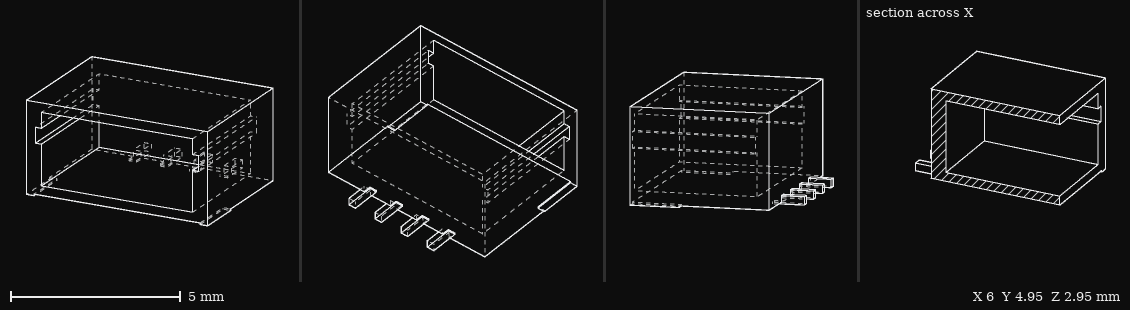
import cadquery as cq

body_width = 6.0
body_depth = 4.25
standoff = 0.05
body_height = 2.905

side_wall = 0.5
floor_wall = 0.3
back_wall = 0.5
cavity_width = body_width - 2 * side_wall
cavity_height = body_height - 2 * floor_wall
cavity_depth = body_depth - back_wall
groove_span = 5.4
groove_height = 0.5
groove_drop = 0.8

lead_count = 4
lead_pitch = 1.0
lead_width = 0.25
lead_thickness = 0.25
lead_overhang = 0.7
lead_length = 0.97

pad_width = 0.25
pad_length = 1.5

body_top = standoff + body_height


def block(width, depth, height, x_center, y_front, z_bottom):
    """Box centred on x_center, running back from y_front and up from z_bottom."""
    box = cq.Workplane("XY").box(width, depth, height, centered=(True, False, False))
    return box.translate((x_center, y_front, z_bottom))


housing = block(body_width, body_depth, body_height, 0, 0, standoff)
cavity = block(cavity_width, cavity_depth, cavity_height, 0, 0, standoff + floor_wall)
groove_bottom = body_top - groove_drop - groove_height
grooves = block(groove_span, cavity_depth, groove_height, 0, 0, groove_bottom)
result = housing.cut(cavity).cut(grooves)

lead_front = body_depth + lead_overhang - lead_length
for index in range(lead_count):
    lead_x = (index - (lead_count - 1) / 2) * lead_pitch
    lead = block(lead_width, lead_length, lead_thickness, lead_x, lead_front, 0)
    result = result.union(lead)

for side in (-1, 1):
    pad_x = side * (body_width - pad_width) / 2
    result = result.union(block(pad_width, pad_length, standoff, pad_x, 0, 0))